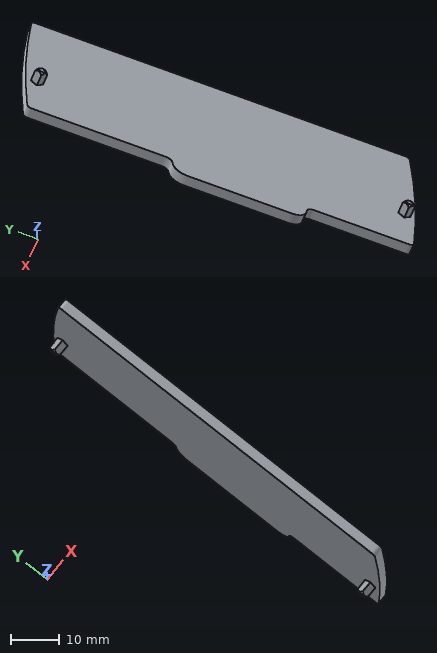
import cadquery as cq
import math

width = 87.2
height = 46.1
thickness = 2.35
side_radius = 252.9
widest_level = 19.7
corner_radius = 1.05

tab_center = -4.3
tab_height = 5.3
tab_root_half_width = 15.3
tab_tip_half_width = 14.5
tab_root_radius = 1.6
tab_tip_radius = 3.4

pin_length = 3.05
pin_diagonal = 2.7
pin_tip_diameter = 1.6
pin_tip_length = 0.6
pin_offset = 41.1
pin_level = 18.4


def half_width_at(z):
    """Half width of the bulged plate at level z."""
    rise = z - widest_level
    return width / 2 - side_radius + math.sqrt(side_radius**2 - rise**2)


def extruded_plate(outline):
    """Extrude a YZ outline through the plate thickness."""
    return outline.close().extrude(thickness)


def make_body():
    top = half_width_at(height)
    bottom = half_width_at(tab_height)
    body = extruded_plate(
        cq.Workplane("YZ")
        .moveTo(-bottom, tab_height)
        .lineTo(bottom, tab_height)
        .threePointArc((width / 2, widest_level), (top, height))
        .lineTo(-top, height)
        .threePointArc((-width / 2, widest_level), (-bottom, tab_height))
    )
    return body.edges("|X").fillet(corner_radius)


def make_tab():
    overlap_level = tab_height + tab_root_radius
    tab = extruded_plate(
        cq.Workplane("YZ")
        .center(tab_center, 0)
        .moveTo(-tab_tip_half_width, 0)
        .lineTo(tab_tip_half_width, 0)
        .lineTo(tab_root_half_width, tab_height)
        .lineTo(tab_root_half_width, overlap_level)
        .lineTo(-tab_root_half_width, overlap_level)
        .lineTo(-tab_root_half_width, tab_height)
    )
    return tab.edges("|X and <Z").fillet(tab_tip_radius)


def make_plate():
    plate = make_body().union(make_tab())
    for side in (-1, 1):
        root = (thickness / 2, tab_center + side * tab_root_half_width, tab_height)
        plate = plate.edges(cq.selectors.NearestToPointSelector(root)).fillet(tab_root_radius)
    return plate


def make_pin(y):
    base = cq.Workplane("YZ").center(y, pin_level)
    square = base.polygon(4, pin_diagonal).extrude(-pin_length)
    shank_length = pin_length - pin_tip_length
    pointed = (
        base.circle(pin_diagonal / 2)
        .extrude(-shank_length)
        .faces("<X")
        .workplane()
        .circle(pin_diagonal / 2)
        .workplane(offset=pin_tip_length)
        .circle(pin_tip_diameter / 2)
        .loft(combine=True)
    )
    return square.intersect(pointed)


result = make_plate()
for side in (-1, 1):
    result = result.union(make_pin(side * pin_offset))